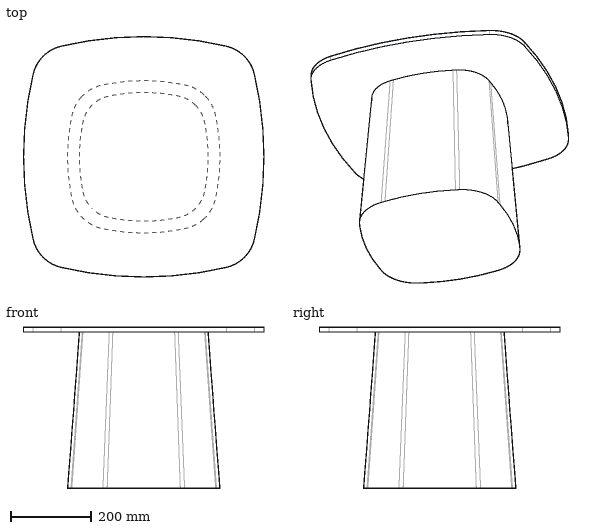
import cadquery as cq
import math

top_width = 600.0
total_height = 402.0
top_thickness = 12.5

top_side_radius = 900.0
top_side_half_chord = 206.0

base_width = 380.5
base_side_radius = 480.0
base_side_half_chord = 91.0
base_strip_length = 11.0

neck_width = 321.5

pedestal_height = total_height - top_thickness
quarter_turns = 4


def turned(point, quarter):
    """Rotate a point about the origin by a number of quarter turns clockwise."""
    x, y = point
    for _ in range(quarter):
        x, y = y, -x
    return x, y


def bowed_square(plane, width, side_radius, half_chord, strip_length=0.0):
    """Closed square outline with bowed sides, optional tangent strips and round corners."""
    crown = (0.0, width / 2)
    angle = math.asin(half_chord / side_radius)
    drop = side_radius * (1 - math.cos(angle))
    side_start = (-half_chord, crown[1] - drop)
    side_end = (half_chord, crown[1] - drop)
    strip_end = (
        side_end[0] + strip_length * math.cos(angle),
        side_end[1] - strip_length * math.sin(angle),
    )

    corner_radius = (strip_end[1] - strip_end[0]) / (math.cos(angle) - math.sin(angle))
    corner_center = strip_end[0] - corner_radius * math.sin(angle)
    corner_middle = corner_center + corner_radius * math.sqrt(0.5)
    corner_end = (strip_end[1], strip_end[0])

    outline = plane.moveTo(*side_start)
    for quarter in range(quarter_turns):
        outline = outline.threePointArc(turned(crown, quarter), turned(side_end, quarter))
        if strip_length > 0:
            outline = outline.lineTo(*turned(strip_end, quarter))
        outline = outline.threePointArc(
            turned((corner_middle, corner_middle), quarter),
            turned(corner_end, quarter),
        )
        if strip_length > 0:
            outline = outline.lineTo(*turned(side_start, quarter + 1))
    return outline.close()


def make_pedestal():
    """Solid pedestal narrowing evenly from the floor to the table top."""
    taper = neck_width / base_width
    base = bowed_square(
        cq.Workplane("XY"),
        base_width,
        base_side_radius,
        base_side_half_chord,
        base_strip_length,
    )
    neck = bowed_square(
        cq.Workplane("XY").workplane(offset=pedestal_height),
        neck_width,
        base_side_radius * taper,
        base_side_half_chord * taper,
        base_strip_length * taper,
    )
    return cq.Solid.makeLoft([base.val(), neck.val()], True)


def make_table_top():
    """Thin flat top resting on the pedestal."""
    plane = cq.Workplane("XY").workplane(offset=pedestal_height)
    outline = bowed_square(plane, top_width, top_side_radius, top_side_half_chord)
    return outline.extrude(top_thickness)


pedestal = make_pedestal()
table_top = make_table_top()

result = cq.Compound.makeCompound([pedestal, table_top.val()])